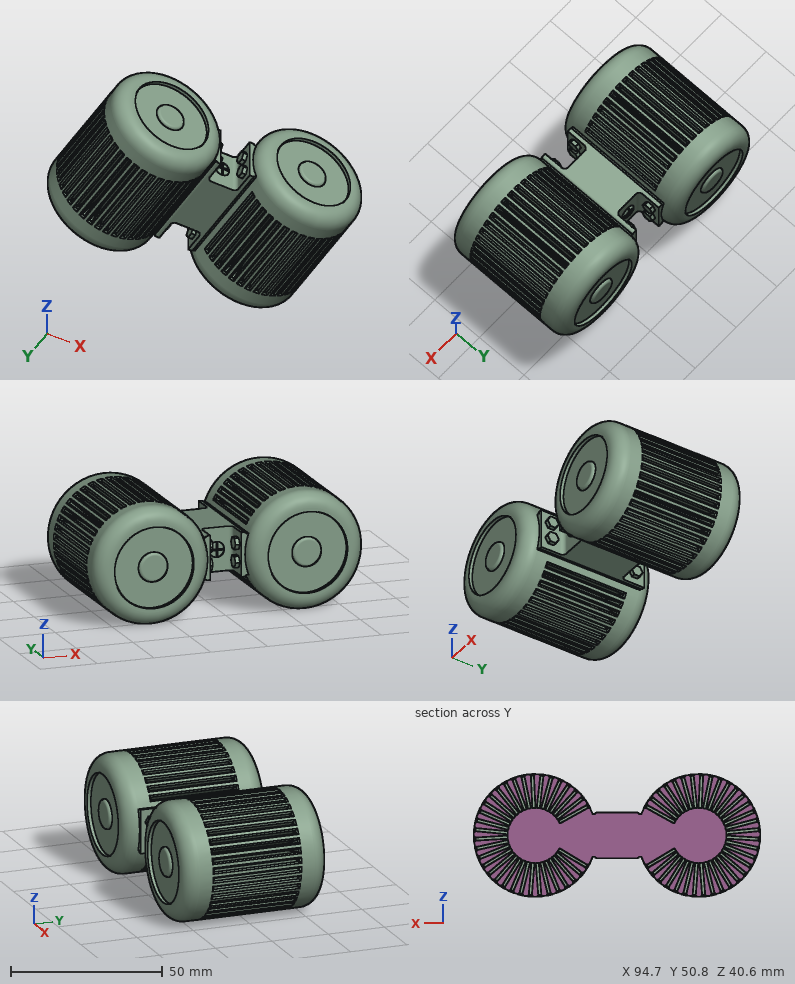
import cadquery as cq

total_length = 94.7
roller_diameter = 40.6
roller_length = 50.8
roller_radius = roller_diameter / 2
roller_x = total_length / 2 - roller_radius
half_length = roller_length / 2

end_rounding = 5.0
recess_diameter = 27.9
recess_depth = 1.3
hub_diameter = 10.2
hub_height = 1.1
hub_rounding = 1.0

core_diameter = 18.3
slot_count = 34
slot_arc = 300.0
slot_phase = 1.0
slot_length = 31.4
slot_width = 2.1
rim_chamfer = 0.6

bracket_height = 15.2
flange_face_x = 5.5
flange_back_x = 7.4
flange_rounding = 0.9
saddle_height = 14.2
saddle_back_x = 8.2
flange_length = roller_length - 2 * end_rounding
web_width = 23.0
web_corner_radius = 1.5

hex_corners = 4.45
hex_height = 1.5
hex_y = 16.7
hex_z = 3.1

screw_diameter = 5.3
screw_height = 0.7
screw_rounding = 0.6
cross_width = 0.4
cross_depth = 0.4


def make_end_hub():
    """Rounded hub standing on the floor of the recess at the -Y end."""
    floor = cq.Workplane("XZ", origin=(0, -half_length + recess_depth, 0))
    return floor.circle(hub_diameter / 2).extrude(hub_height).faces("<Y").edges().fillet(hub_rounding)


def make_slot_cutter():
    """Cutter for one slot at the -X side of a roller: a straight slot plus its flared rim."""
    inner_width = slot_width - 2 * rim_chamfer
    inner_length = slot_length - 2 * rim_chamfer
    rim_bottom_x = rim_chamfer - roller_radius
    straight = (
        cq.Workplane("YZ", origin=(rim_bottom_x, 0, 0))
        .rect(inner_length, inner_width)
        .extrude(-rim_bottom_x)
    )
    flare = 2 * rim_chamfer
    rim = (
        cq.Workplane("YZ", origin=(rim_bottom_x, 0, 0))
        .rect(inner_length, inner_width)
        .workplane(offset=-flare)
        .rect(inner_length + 2 * flare, inner_width + 2 * flare)
        .loft(ruled=True)
    )
    core = cq.Workplane("XZ", origin=(0, slot_length / 2, 0)).circle(core_diameter / 2).extrude(slot_length)
    return straight.union(rim).cut(core)


def make_roller():
    """Roller along Y, centred on the origin, with its plain band toward +X."""
    body = cq.Workplane("XZ", origin=(0, half_length, 0)).circle(roller_radius).extrude(roller_length)
    body = body.edges().fillet(end_rounding)
    recess = cq.Workplane("XZ", origin=(0, -half_length + recess_depth, 0))
    recess = recess.circle(recess_diameter / 2).extrude(recess_depth)
    hub = make_end_hub()
    body = body.cut(recess).cut(recess.mirror("XZ"))
    body = body.union(hub).union(hub.mirror("XZ"))
    cutter = make_slot_cutter().val()
    pitch = slot_arc / (slot_count - 1)
    cutters = [
        cutter.rotate((0, 0, 0), (0, 1, 0), slot_phase - slot_arc / 2 + pitch * i)
        for i in range(slot_count)
    ]
    return body.cut(cq.Workplane(cq.Compound.makeCompound(cutters)))


def make_bracket():
    """Web between two flanges, with a saddle pad behind each that sinks into its roller."""
    bracket = cq.Workplane("XY").box(2 * flange_face_x, web_width, bracket_height)
    for side in (-1, 1):
        flange = (
            cq.Workplane("XY")
            .box(flange_back_x - flange_face_x, flange_length, bracket_height)
            .translate((side * (flange_face_x + flange_back_x) / 2, 0, 0))
            .edges("<X and |Y" if side < 0 else ">X and |Y")
            .fillet(flange_rounding)
        )
        saddle = (
            cq.Workplane("XY")
            .box(saddle_back_x - flange_face_x, flange_length, saddle_height)
            .translate((side * (flange_face_x + saddle_back_x) / 2, 0, 0))
        )
        bracket = bracket.union(flange).union(saddle)
    corner_reach = web_width / 2 + web_corner_radius
    corner_box = cq.selectors.BoxSelector(
        (-flange_back_x, -corner_reach, -bracket_height),
        (flange_back_x, corner_reach, bracket_height),
    )
    return bracket.edges(corner_box).edges("|Z").fillet(web_corner_radius)


def make_hex_heads():
    """Four bolt heads on the inner face of the -X flange."""
    points = [(y, z) for y in (-hex_y, hex_y) for z in (-hex_z, hex_z)]
    return (
        cq.Workplane("YZ", origin=(-flange_face_x, 0, 0))
        .pushPoints(points)
        .polygon(6, hex_corners)
        .extrude(hex_height)
    )


def make_screw_head():
    """Domed screw head with a cross slot on the -Y face of the web."""
    top_y = -web_width / 2 - screw_height
    head = cq.Workplane("XZ", origin=(0, -web_width / 2, 0)).circle(screw_diameter / 2).extrude(screw_height)
    head = head.faces("<Y").edges().fillet(screw_rounding)
    for size in ((screw_diameter, cross_width), (cross_width, screw_diameter)):
        groove = cq.Workplane("XZ", origin=(0, top_y + cross_depth, 0)).rect(*size).extrude(cross_depth)
        head = head.cut(groove)
    return head


left_roller = make_roller().translate((-roller_x, 0, 0))
hex_heads = make_hex_heads()
screw_head = make_screw_head()

part = make_bracket()
for feature, plane in ((left_roller, "YZ"), (hex_heads, "YZ"), (screw_head, "XZ")):
    part = part.union(feature).union(feature.mirror(plane))

result = cq.Workplane(part.solids().val())